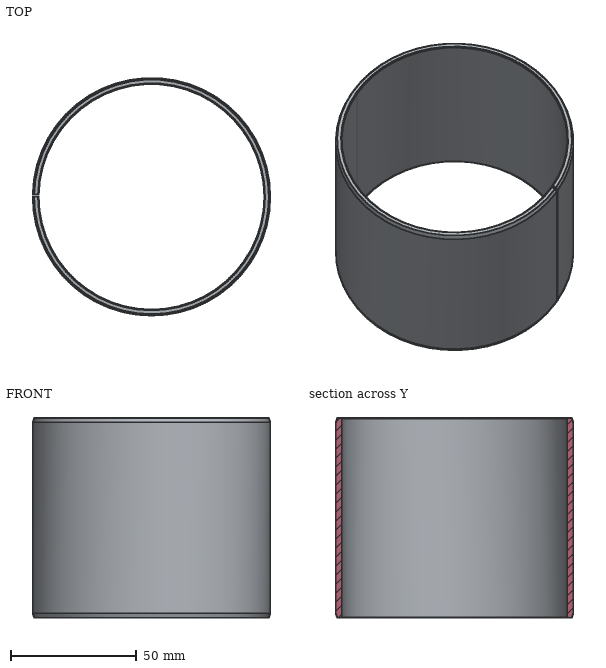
import cadquery as cq

outer_diameter = 95.0
wall = 2.5
length = 80.0

outer_chamfer_length = 1.8
outer_chamfer_depth = 0.7
inner_chamfer = 0.4

slit_width = 0.8
slit_offset_y = 0.5

outer_radius = outer_diameter / 2
inner_radius = outer_radius - wall


def sleeve():
    """Revolve the chamfered wall section about Z, centred on the origin."""
    end = length / 2
    section = [
        (inner_radius, -end + inner_chamfer),
        (inner_radius + inner_chamfer, -end),
        (outer_radius - outer_chamfer_depth, -end),
        (outer_radius, -end + outer_chamfer_length),
        (outer_radius, end - outer_chamfer_length),
        (outer_radius - outer_chamfer_depth, end),
        (inner_radius + inner_chamfer, end),
        (inner_radius, end - inner_chamfer),
    ]
    return cq.Workplane("XZ").polyline(section).close().revolve(360, (0, 0), (0, 1))


def slit():
    """Box that reaches from the bore out through the -X wall."""
    return cq.Workplane("XY").box(outer_radius, slit_width, length).translate(
        (-outer_radius, slit_offset_y, 0)
    )


result = sleeve().cut(slit())